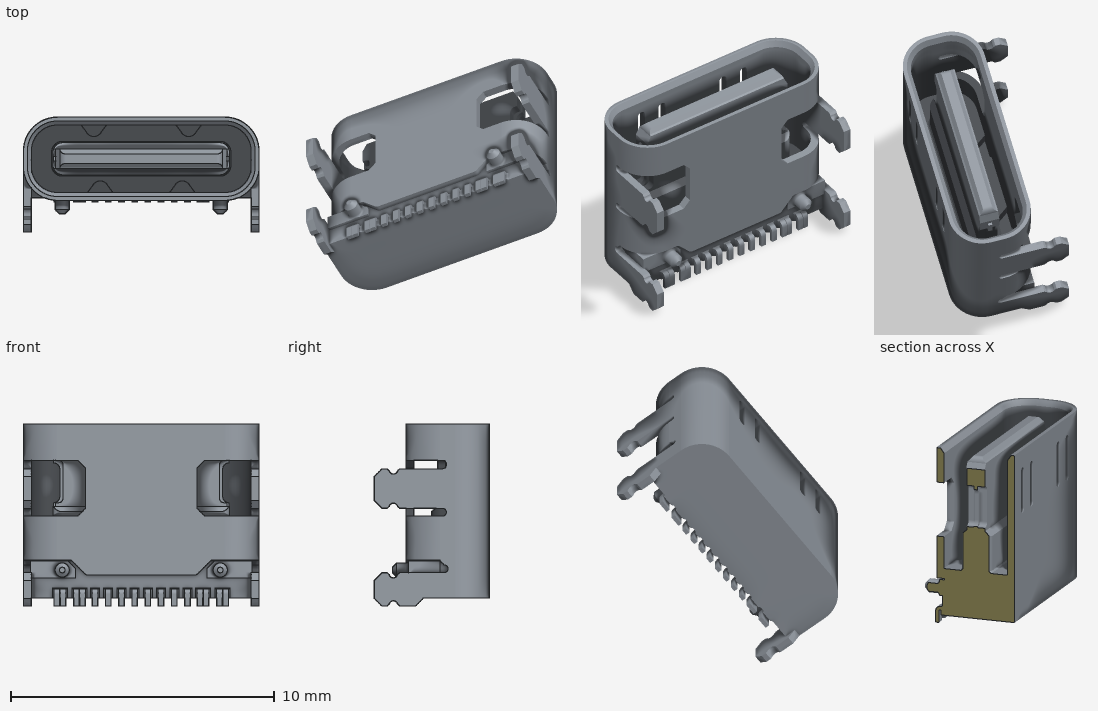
import cadquery as cq
import math

SHELL_WIDTH = 8.94
SHELL_HEIGHT = 3.165
SHELL_DEPTH = 6.6
SHELL_CORNER = 1.3
WALL = 0.3
MOUTH_CHAMFER = 0.15
MOUTH_CHAMFER_DEPTH = 0.215
TAIL_Z = -0.3

HALF_WIDTH = SHELL_WIDTH / 2
HALF_HEIGHT = SHELL_HEIGHT / 2
INNER_X = HALF_WIDTH - WALL
INNER_Y = HALF_HEIGHT - WALL
LEG_ROOT_Y = SHELL_CORNER - HALF_HEIGHT

LEG_TIP_Y = HALF_HEIGHT - 4.36
LEG_TIP_CHAMFER = 0.295
LEG_NOTCH_START_Y = -1.815
LEG_NOTCH_WIDTH = 0.47
LEG_NOTCH_DEPTH = 0.2
LEG_NOTCH_FLANK = 0.08
FRONT_LEG_BOTTOM_Z = 3.4
FRONT_LEG_TOP_Z = 4.9
REAR_LEG_TOP_Z = 0.965
REAR_LEG_RAMP_Y = -0.91

WINDOW_BOTTOM_Z = 3.11
WINDOW_TOP_Z = 5.22
WINDOW_INNER_X = 2.12
WINDOW_CHAMFER = 0.29
SLOT_END_Y = -0.045
END_ROUNDING = 0.49

SKIRT_Z = 1.45
TAB_Z = 0.87
TAB_HALF_WIDTH = 2.08
TAB_CORNER_RADIUS = 0.18
REAR_SLOT_END_Y = 0.02
REAR_SLOT_RADIUS = 0.1475

SLIT_PAIR_X = 1.89
SLIT_SPACING = 0.95
SLIT_WIDTH = 0.32
SLIT_TOP_Z = 5.9
SLIT_BOTTOM_Z = 4.11

FLOOR_Z = 1.86
FOOT_TOP_Z = 1.41
HOUSING_BOTTOM_Y = -1.36
PAD_BOTTOM_Y = -1.48
PAD_BOTTOM_Z = 0.77
SHOULDER_X = 4.2
PAD_INNER_X = 2.49
PAD_CHAMFER = 0.29
NOTCH_HALF_WIDTH = 0.48
NOTCH_HEIGHT = 0.44
NOTCH_SHOULDER_X = 0.29
NOTCH_SHOULDER_HEIGHT = 0.26
NOTCH_DEPTH = 0.54
UPPER_NOTCH_X = 1.8
LOWER_NOTCH_X = 1.56

PEG_X = 2.995
PEG_Z = 1.06
PEG_RADIUS = 0.27
PEG_TIP_RADIUS = 0.11
PEG_TIP_LENGTH = 0.16
PEG_END_Y = -2.09
PEG_FILLET = 0.09

TONGUE_TOP_Z = 6.34
TONGUE_HALF_WIDTH = 3.245
TONGUE_HALF_HEIGHT = 0.375
TIP_HALF_HEIGHT = 0.18
TIP_EDGE_HALF_HEIGHT = 0.31
TIP_CHAMFER_DEPTH = 0.16
TIP_DRAFT_DEPTH = 0.045
TIP_HALF_WIDTH = 2.86
TIP_ROUND = 0.22
TIP_SIDE_Z = 5.81
BASE_HALF_WIDTH = 3.34
BASE_HALF_HEIGHT = 0.61
BASE_CORNER = 0.36
BASE_FLARE = 0.05
BASE_TOP_Z = 3.27
RAMP_TOP_Z = 3.48
PLATE_HALF_WIDTH = 3.335
PLATE_HALF_THICKNESS = 0.08
PLATE_TOP_Z = 5.63
LATCH_BOTTOM_Z = 3.61
LATCH_TOP_Z = 5.22
LATCH_PLATE_TOP_Z = 5.12
LATCH_TONGUE_X = 2.96
LATCH_PLATE_X = 3.08
LATCH_TONGUE_ROUND = 0.18
LATCH_PLATE_ROUND = 0.24

TAIL_BOTTOM_Y = -1.645
TAIL_THICKNESS = 0.15
TAIL_TOP_Z = 0.35
TAIL_BEND_RADIUS = 0.2
SINGLE_TAIL_WIDTH = 0.215
TAIL_PITCH = 0.5
SINGLE_TAIL_COUNT = 8
PAIR_TAIL_WIDTH = 0.215
PAIR_TAIL_OFFSET = 0.12
PAIR_TAIL_X = (2.34, 3.08)
COLLAR_TOP_Z = 0.38
COLLAR_FLARE = 0.06


def box(x0, x1, y0, y1, z0, z1):
    return cq.Workplane("XY").box(x1 - x0, y1 - y0, z1 - z0, centered=False).translate((x0, y0, z0))


def both_sides(body):
    return body.union(body.mirror("YZ"))


def rounded_bar(half_x, half_y, corner, z0, z1):
    bar = cq.Workplane("XY").workplane(offset=z0).rect(2 * half_x, 2 * half_y).extrude(z1 - z0)
    return bar.edges("|Z").fillet(corner)


def side_profile(points, x0, x1):
    """Extrude a (y, z) polygon between two X positions."""
    return cq.Workplane("YZ").workplane(offset=x0).polyline(points).close().extrude(x1 - x0)


def front_profile(points, y0, y1):
    """Extrude an (x, z) polygon between two Y positions."""
    profile = cq.Workplane("XZ").workplane(offset=-y1).polyline(points).close()
    return profile.extrude(y1 - y0)


def rounded_outline(half_x, half_y, corner, z):
    sketch = cq.Sketch().rect(2 * half_x, 2 * half_y).vertices().fillet(corner)
    return cq.Workplane("XY").workplane(offset=z).placeSketch(sketch)


def shell_tube():
    tube = rounded_bar(HALF_WIDTH, HALF_HEIGHT, SHELL_CORNER, 0, SHELL_DEPTH)
    tube = tube.cut(rounded_bar(INNER_X, INNER_Y, SHELL_CORNER - WALL, 0, SHELL_DEPTH))
    mouth = rounded_outline(
        INNER_X + MOUTH_CHAMFER, INNER_Y + MOUTH_CHAMFER, SHELL_CORNER - WALL + MOUTH_CHAMFER, SHELL_DEPTH
    )
    taper = math.degrees(math.atan(MOUTH_CHAMFER / MOUTH_CHAMFER_DEPTH))
    return tube.cut(mouth.extrude(-MOUTH_CHAMFER_DEPTH, taper=taper))


def window_cutter():
    """Left window through the lower wall and its corner, up to the flat of the side wall."""
    outer_x = -HALF_WIDTH - 0.09
    outline = [
        (outer_x, WINDOW_BOTTOM_Z),
        (-WINDOW_INNER_X - WINDOW_CHAMFER, WINDOW_BOTTOM_Z),
        (-WINDOW_INNER_X, WINDOW_BOTTOM_Z + WINDOW_CHAMFER),
        (-WINDOW_INNER_X, WINDOW_TOP_Z - WINDOW_CHAMFER),
        (-WINDOW_INNER_X - WINDOW_CHAMFER, WINDOW_TOP_Z),
        (outer_x, WINDOW_TOP_Z),
    ]
    return front_profile(outline, -HALF_HEIGHT - 0.09, LEG_ROOT_Y)


def skirt_cutter():
    """Everything behind the rear edge of the lower wall, leaving the tab in the middle."""
    tab_root_x = TAB_HALF_WIDTH + SKIRT_Z - TAB_Z
    outer_x = HALF_WIDTH + 0.09
    outline = [
        (-outer_x, SKIRT_Z),
        (-tab_root_x, SKIRT_Z),
        (-TAB_HALF_WIDTH, TAB_Z),
        (TAB_HALF_WIDTH, TAB_Z),
        (tab_root_x, SKIRT_Z),
        (outer_x, SKIRT_Z),
        (outer_x, -0.09),
        (-outer_x, -0.09),
    ]
    cutter = front_profile(outline, -HALF_HEIGHT - 0.09, LEG_ROOT_Y)
    tab_corners = cq.selectors.BoxSelector(
        (-tab_root_x - 0.09, -HALF_HEIGHT - 0.18, TAB_Z - 0.09), (tab_root_x + 0.09, HALF_HEIGHT, SKIRT_Z + 0.09)
    )
    return cutter.edges("|Y").edges(tab_corners).fillet(TAB_CORNER_RADIUS)


def front_slot_cutter(bottom_z, top_z):
    """Round-ended end of the gap between the front leg and the shell."""
    slot = box(-HALF_WIDTH - 0.09, -INNER_X, LEG_ROOT_Y - 0.09, SLOT_END_Y, bottom_z, top_z)
    return slot.edges(">Y and |X").fillet(END_ROUNDING * (top_z - bottom_z))


def rear_slot_cutter():
    """Round-ended slot above the rear leg, widening at 45 degrees up to the skirt edge."""
    slot_top_z = REAR_LEG_TOP_Z + 2 * REAR_SLOT_RADIUS
    arc_center_y = REAR_SLOT_END_Y - REAR_SLOT_RADIUS
    shoulder_z = slot_top_z + arc_center_y - LEG_ROOT_Y
    profile = (
        cq.Workplane("YZ").workplane(offset=-HALF_WIDTH - 0.09)
        .moveTo(LEG_ROOT_Y, REAR_LEG_TOP_Z)
        .lineTo(arc_center_y, REAR_LEG_TOP_Z)
        .threePointArc((REAR_SLOT_END_Y, REAR_LEG_TOP_Z + REAR_SLOT_RADIUS), (arc_center_y, slot_top_z))
        .lineTo(LEG_ROOT_Y, shoulder_z)
        .close()
    )
    return profile.extrude(WALL + 0.09)


def leg(bottom_z, top_z, root_y):
    """Flat leg along the left side wall with a notched, chamfered tip."""
    tip_side_y = LEG_TIP_Y + LEG_TIP_CHAMFER
    outline = [
        (root_y, bottom_z),
        (tip_side_y, bottom_z),
        (LEG_TIP_Y, bottom_z + LEG_TIP_CHAMFER),
        (LEG_TIP_Y, top_z - LEG_TIP_CHAMFER),
        (tip_side_y, top_z),
        (root_y, top_z),
    ]
    blank = side_profile(outline, -HALF_WIDTH, -INNER_X)
    return blank.cut(leg_notch(top_z, -1)).cut(leg_notch(bottom_z, 1))


def leg_notch(edge_z, inward):
    """Notch with 45 degree flanks and a round floor; inward is the Z sense into the leg."""
    half_floor = LEG_NOTCH_WIDTH / 2 - LEG_NOTCH_FLANK
    center_y = LEG_NOTCH_START_Y - LEG_NOTCH_WIDTH / 2
    flank_z = edge_z + inward * LEG_NOTCH_FLANK
    profile = (
        cq.Workplane("YZ").workplane(offset=-HALF_WIDTH)
        .moveTo(LEG_NOTCH_START_Y, edge_z)
        .lineTo(center_y + half_floor, flank_z)
        .threePointArc((center_y, edge_z + inward * LEG_NOTCH_DEPTH), (center_y - half_floor, flank_z))
        .lineTo(center_y - LEG_NOTCH_WIDTH / 2, edge_z)
        .close()
    )
    return profile.extrude(WALL)


def rear_leg():
    """Leg behind the shell edge, with a root that slopes back to the depth of the tails."""
    slope_end_y = REAR_LEG_RAMP_Y + TAIL_Z
    root = [
        (LEG_ROOT_Y, 0),
        (REAR_LEG_RAMP_Y, 0),
        (slope_end_y, TAIL_Z),
        (slope_end_y, REAR_LEG_TOP_Z),
        (LEG_ROOT_Y, REAR_LEG_TOP_Z),
    ]
    tip = leg(TAIL_Z, REAR_LEG_TOP_Z, slope_end_y)
    return tip.union(side_profile(root, -HALF_WIDTH, -INNER_X))


def slit_cutters():
    for pair in (-1, 1):
        for side in (-1, 1):
            x = pair * SLIT_PAIR_X + side * SLIT_SPACING / 2
            slit = box(
                x - SLIT_WIDTH / 2, x + SLIT_WIDTH / 2, INNER_Y - 0.09, HALF_HEIGHT + 0.09, SLIT_BOTTOM_Z, SLIT_TOP_Z
            )
            yield slit.edges("|Y").fillet(END_ROUNDING * SLIT_WIDTH)


def shell():
    openings = (
        window_cutter()
        .union(front_slot_cutter(WINDOW_BOTTOM_Z, FRONT_LEG_BOTTOM_Z))
        .union(front_slot_cutter(FRONT_LEG_TOP_Z, WINDOW_TOP_Z))
        .union(rear_slot_cutter())
    )
    body = shell_tube().cut(skirt_cutter()).cut(openings).cut(openings.mirror("YZ"))
    for slit in slit_cutters():
        body = body.cut(slit)
    legs = leg(FRONT_LEG_BOTTOM_Z, FRONT_LEG_TOP_Z, LEG_ROOT_Y).union(rear_leg())
    return body.union(both_sides(legs))


def floor_notch(x, wall_sense):
    """Bell-shaped pocket in the housing floor beside the upper (+1) or lower (-1) wall."""
    wall_y = wall_sense * INNER_Y
    profile = (
        cq.Workplane("XY").workplane(offset=FLOOR_Z)
        .moveTo(x - NOTCH_HALF_WIDTH, wall_y)
        .lineTo(x - NOTCH_SHOULDER_X, wall_y - wall_sense * NOTCH_SHOULDER_HEIGHT)
        .threePointArc(
            (x, wall_y - wall_sense * NOTCH_HEIGHT),
            (x + NOTCH_SHOULDER_X, wall_y - wall_sense * NOTCH_SHOULDER_HEIGHT),
        )
        .lineTo(x + NOTCH_HALF_WIDTH, wall_y)
        .close()
    )
    return profile.extrude(-NOTCH_DEPTH)


def pad():
    """Raised pad of the housing on the left, between the leg and the tab."""
    outline = [
        (-INNER_X, PAD_BOTTOM_Z),
        (-PAD_INNER_X, PAD_BOTTOM_Z),
        (-PAD_INNER_X, FOOT_TOP_Z - PAD_CHAMFER),
        (-PAD_INNER_X - PAD_CHAMFER, FOOT_TOP_Z),
        (-INNER_X, FOOT_TOP_Z),
    ]
    return front_profile(outline, PAD_BOTTOM_Y, HOUSING_BOTTOM_Y)


def shoulder():
    """Left end of the housing, reaching slightly into the slot above the rear leg."""
    return box(-SHOULDER_X, -INNER_X, PAD_BOTTOM_Y, LEG_ROOT_Y, REAR_LEG_TOP_Z, FOOT_TOP_Z)


def peg():
    """Locating peg with a conical tip and a filleted foot, turned about its own axis."""
    length = PAD_BOTTOM_Y - PEG_END_Y
    half_section = (
        cq.Workplane("XY")
        .moveTo(0, 0)
        .lineTo(PEG_RADIUS + PEG_FILLET, 0)
        .radiusArc((PEG_RADIUS, -PEG_FILLET), -PEG_FILLET)
        .lineTo(PEG_RADIUS, PEG_TIP_LENGTH - length)
        .lineTo(PEG_TIP_RADIUS, -length)
        .lineTo(0, -length)
        .close()
    )
    turned = half_section.revolve(360, (0, 0, 0), (0, 1, 0)).translate((-PEG_X, PAD_BOTTOM_Y, PEG_Z))
    return turned.cut(box(-HALF_WIDTH, 0, PEG_END_Y, 0, 0, PAD_BOTTOM_Z))


def housing():
    fill = rounded_bar(INNER_X, INNER_Y, SHELL_CORNER - WALL, 0, FLOOR_Z)
    foot = box(-INNER_X, INNER_X, HOUSING_BOTTOM_Y, 0, 0, FOOT_TOP_Z)
    body = fill.union(foot).union(both_sides(pad().union(shoulder()).union(peg())))
    for side in (-1, 1):
        body = body.cut(floor_notch(side * UPPER_NOTCH_X, 1))
        body = body.cut(floor_notch(side * LOWER_NOTCH_X, -1))
    return body


def tongue_blade():
    """Blade with a bevelled, rounded tip and a latch recess in each narrow side."""
    edge_z = TONGUE_TOP_Z - TIP_CHAMFER_DEPTH
    section = [
        (-TONGUE_HALF_HEIGHT, FLOOR_Z),
        (-TONGUE_HALF_HEIGHT, edge_z - TIP_DRAFT_DEPTH),
        (-TIP_EDGE_HALF_HEIGHT, edge_z),
        (-TIP_HALF_HEIGHT, TONGUE_TOP_Z),
        (TIP_HALF_HEIGHT, TONGUE_TOP_Z),
        (TIP_EDGE_HALF_HEIGHT, edge_z),
        (TONGUE_HALF_HEIGHT, edge_z - TIP_DRAFT_DEPTH),
        (TONGUE_HALF_HEIGHT, FLOOR_Z),
    ]
    round_end_x = TIP_HALF_WIDTH + TIP_ROUND
    round_end_z = TONGUE_TOP_Z - TIP_ROUND
    plan = (
        cq.Workplane("XZ").workplane(offset=-TONGUE_HALF_HEIGHT)
        .moveTo(-TONGUE_HALF_WIDTH, FLOOR_Z)
        .lineTo(-TONGUE_HALF_WIDTH, TIP_SIDE_Z)
        .lineTo(-round_end_x, round_end_z)
        .radiusArc((-TIP_HALF_WIDTH, TONGUE_TOP_Z), TIP_ROUND)
        .lineTo(TIP_HALF_WIDTH, TONGUE_TOP_Z)
        .radiusArc((round_end_x, round_end_z), TIP_ROUND)
        .lineTo(TONGUE_HALF_WIDTH, TIP_SIDE_Z)
        .lineTo(TONGUE_HALF_WIDTH, FLOOR_Z)
        .close()
    )
    blade = plan.extrude(2 * TONGUE_HALF_HEIGHT)
    blade = blade.intersect(side_profile(section, -TONGUE_HALF_WIDTH, TONGUE_HALF_WIDTH))
    recess = latch_recess(LATCH_TONGUE_X, LATCH_TOP_Z, LATCH_TONGUE_ROUND)
    return blade.cut(recess).cut(recess.mirror("YZ"))


def latch_recess(inner_x, top_z, rounding):
    recess = box(-BASE_HALF_WIDTH, -inner_x, -INNER_Y, INNER_Y, LATCH_BOTTOM_Z, top_z)
    return recess.edges(">X and |Y").fillet(rounding)


def mid_plate():
    """Thin plate through the tongue whose edges stand slightly proud of its narrow sides."""
    plate = box(
        -PLATE_HALF_WIDTH, PLATE_HALF_WIDTH, -PLATE_HALF_THICKNESS, PLATE_HALF_THICKNESS, FLOOR_Z, PLATE_TOP_Z
    )
    recess = latch_recess(LATCH_PLATE_X, LATCH_PLATE_TOP_Z, LATCH_PLATE_ROUND)
    return plate.cut(recess).cut(recess.mirror("YZ"))


def tongue_base():
    """Thick root of the tongue with ramps up to the blade on its broad faces."""
    bar = rounded_bar(BASE_HALF_WIDTH, BASE_HALF_HEIGHT, BASE_CORNER, FLOOR_Z, RAMP_TOP_Z)
    section = [
        (-BASE_HALF_HEIGHT, FLOOR_Z),
        (-BASE_HALF_HEIGHT, BASE_TOP_Z),
        (-TONGUE_HALF_HEIGHT, RAMP_TOP_Z),
        (TONGUE_HALF_HEIGHT, RAMP_TOP_Z),
        (BASE_HALF_HEIGHT, BASE_TOP_Z),
        (BASE_HALF_HEIGHT, FLOOR_Z),
    ]
    flare = rounded_outline(
        BASE_HALF_WIDTH + BASE_FLARE, BASE_HALF_HEIGHT + BASE_FLARE, BASE_CORNER + BASE_FLARE, FLOOR_Z
    )
    base = bar.intersect(side_profile(section, -BASE_HALF_WIDTH, BASE_HALF_WIDTH))
    return base.union(flare.extrude(BASE_FLARE, taper=45))


def tail(x, width):
    """Solder tail that leaves the housing downwards and bends to the rear."""
    blade = box(
        x - width / 2, x + width / 2, TAIL_BOTTOM_Y, TAIL_BOTTOM_Y + TAIL_THICKNESS, TAIL_Z, TAIL_TOP_Z
    )
    shank = box(
        x - width / 2, x + width / 2, TAIL_BOTTOM_Y, HOUSING_BOTTOM_Y, TAIL_TOP_Z - TAIL_THICKNESS, TAIL_TOP_Z
    )
    return blade.union(shank).edges("<Y and >Z").fillet(TAIL_BEND_RADIUS)


def collar(x, width):
    """Flared collar of the housing around the tails centred at x."""
    root = cq.Workplane("XZ", origin=(x, HOUSING_BOTTOM_Y, 0)).rect(width + 2 * COLLAR_FLARE, 2 * COLLAR_TOP_Z)
    above_rear_face = box(-HALF_WIDTH, HALF_WIDTH, -HALF_HEIGHT, 0, 0, COLLAR_TOP_Z)
    return root.extrude(COLLAR_FLARE, taper=45).intersect(above_rear_face)


def tails_and_collars():
    pieces = []
    for i in range(SINGLE_TAIL_COUNT):
        x = (i - (SINGLE_TAIL_COUNT - 1) / 2) * TAIL_PITCH
        pieces += [collar(x, SINGLE_TAIL_WIDTH), tail(x, SINGLE_TAIL_WIDTH)]
    for side in (-1, 1):
        for pair_x in PAIR_TAIL_X:
            x = side * pair_x
            pieces.append(collar(x, 2 * PAIR_TAIL_OFFSET + PAIR_TAIL_WIDTH))
            pieces.append(tail(x - PAIR_TAIL_OFFSET, PAIR_TAIL_WIDTH))
            pieces.append(tail(x + PAIR_TAIL_OFFSET, PAIR_TAIL_WIDTH))
    return pieces


result = shell().union(housing())
for part in [tongue_base(), tongue_blade(), mid_plate(), *tails_and_collars()]:
    result = result.union(part)